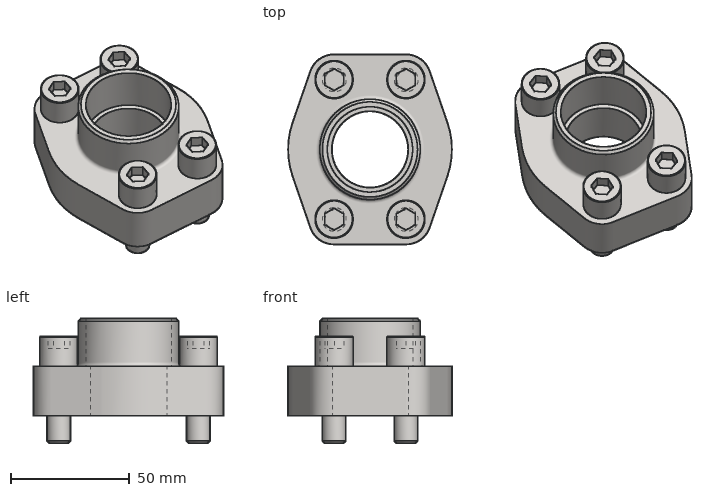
import cadquery as cq
import math

plate_thickness = 21.0
plate_length = 80.0
plate_width = 69.0
side_radius = plate_width / 2

bolt_spacing_x = 30.2
bolt_spacing_y = 58.7
bolt_half_x = bolt_spacing_x / 2
bolt_half_y = bolt_spacing_y / 2
corner_radius = plate_length / 2 - bolt_half_y

neck_diameter = 42.3
neck_height = 20.0
neck_chamfer = 1.15
neck_root_fillet = 1.6
bore_diameter = 32.0
socket_diameter = 35.9
socket_depth = 20.0

head_diameter = 16.0
head_height = 12.45
head_chamfer = 0.3
shank_diameter = 10.0
shank_projection = 11.5
shank_chamfer = 1.05
hex_across_flats = 8.0
hex_depth = 5.0

plate_top = plate_thickness
neck_top = plate_top + neck_height
head_top = plate_top + head_height


def make_plate():
    """Plate outlined by two side arcs, four corner arcs and their common tangents."""
    centre_distance = math.hypot(bolt_half_x, bolt_half_y)
    centre_angle = math.atan2(bolt_half_y, bolt_half_x)
    tangent_angle = centre_angle - math.acos((side_radius - corner_radius) / centre_distance)
    corner_mid_angle = (tangent_angle + math.pi / 2) / 2

    side_x = side_radius * math.cos(tangent_angle)
    side_y = side_radius * math.sin(tangent_angle)
    corner_x = bolt_half_x + corner_radius * math.cos(tangent_angle)
    corner_y = bolt_half_y + corner_radius * math.sin(tangent_angle)
    mid_x = bolt_half_x + corner_radius * math.cos(corner_mid_angle)
    mid_y = bolt_half_y + corner_radius * math.sin(corner_mid_angle)
    end_x = bolt_half_x
    end_y = plate_length / 2

    return (
        cq.Workplane("XY")
        .moveTo(side_x, -side_y)
        .threePointArc((side_radius, 0), (side_x, side_y))
        .lineTo(corner_x, corner_y)
        .threePointArc((mid_x, mid_y), (end_x, end_y))
        .lineTo(-end_x, end_y)
        .threePointArc((-mid_x, mid_y), (-corner_x, corner_y))
        .lineTo(-side_x, side_y)
        .threePointArc((-side_radius, 0), (-side_x, -side_y))
        .lineTo(-corner_x, -corner_y)
        .threePointArc((-mid_x, -mid_y), (-end_x, -end_y))
        .lineTo(end_x, -end_y)
        .threePointArc((mid_x, -mid_y), (corner_x, -corner_y))
        .close()
        .extrude(plate_thickness)
    )


def make_neck():
    """Revolved neck with a chamfered rim and a concave fillet at its root."""
    radius = neck_diameter / 2
    fillet_centre_x = radius + neck_root_fillet
    fillet_centre_z = plate_top + neck_root_fillet
    fillet_offset = neck_root_fillet * math.sqrt(0.5)
    return (
        cq.Workplane("XZ")
        .moveTo(0, 0)
        .lineTo(fillet_centre_x, 0)
        .lineTo(fillet_centre_x, plate_top)
        .threePointArc(
            (fillet_centre_x - fillet_offset, fillet_centre_z - fillet_offset),
            (radius, fillet_centre_z),
        )
        .lineTo(radius, neck_top - neck_chamfer)
        .lineTo(radius - neck_chamfer, neck_top)
        .lineTo(0, neck_top)
        .close()
        .revolve(360, (0, 0, 0), (0, 1, 0))
    )


def make_bore():
    """Through bore with the wider pipe socket at the top."""
    bore = cq.Workplane("XY").circle(bore_diameter / 2).extrude(neck_top)
    socket = (
        cq.Workplane("XY", origin=(0, 0, neck_top))
        .circle(socket_diameter / 2)
        .extrude(-socket_depth)
    )
    return bore.union(socket)


def make_bolt():
    """Hex socket bolt on the Z axis, with hexagon corners pointing along Y."""
    shank = (
        cq.Workplane("XY", origin=(0, 0, -shank_projection))
        .circle(shank_diameter / 2)
        .extrude(shank_projection + plate_top)
        .faces("<Z")
        .chamfer(shank_chamfer)
    )
    head = (
        cq.Workplane("XY", origin=(0, 0, plate_top))
        .circle(head_diameter / 2)
        .extrude(head_height)
        .faces(">Z")
        .chamfer(head_chamfer)
    )
    hex_across_corners = hex_across_flats / math.cos(math.pi / 6)
    hex_socket = (
        cq.Workplane("XY", origin=(0, 0, head_top))
        .transformed(rotate=(0, 0, 90))
        .polygon(6, hex_across_corners)
        .extrude(-hex_depth)
    )
    return shank.union(head).cut(hex_socket)


result = make_plate().union(make_neck()).cut(make_bore())
bolt = make_bolt()
for bolt_x in (-bolt_half_x, bolt_half_x):
    for bolt_y in (-bolt_half_y, bolt_half_y):
        result = result.union(bolt.translate((bolt_x, bolt_y, 0)))